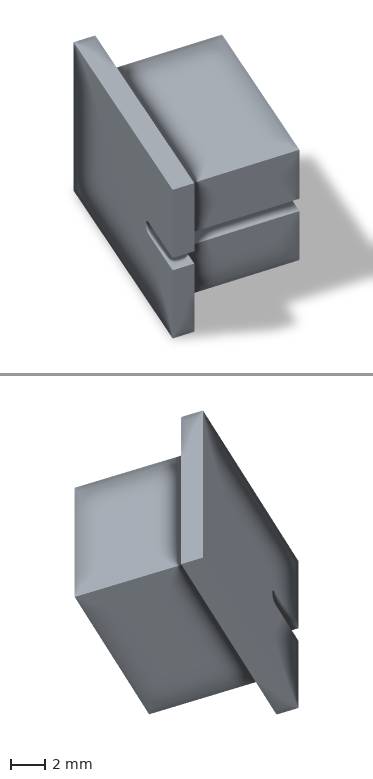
import cadquery as cq

flange_width = 14.0
flange_height = 11.95
flange_thickness = 1.4

total_depth = 8.9
flange_overhang = 1.54
block_width = flange_width - 2 * flange_overhang
block_height = flange_height - 2 * flange_overhang

slot_height = 1.0
slot_length = 3.82
slot_radius = slot_height / 2
flange_edge = flange_width / 2
slot_end = flange_edge - slot_length
slot_arc_start = slot_end + slot_radius


def make_flange():
    return cq.Workplane("XY").box(
        flange_width, flange_thickness, flange_height, centered=(True, False, True)
    )


def make_block():
    return cq.Workplane("XY").box(
        block_width, total_depth, block_height, centered=(True, False, True)
    )


def make_slot():
    return (
        cq.Workplane("XZ")
        .moveTo(flange_edge, slot_radius)
        .lineTo(slot_arc_start, slot_radius)
        .threePointArc((slot_end, 0), (slot_arc_start, -slot_radius))
        .lineTo(flange_edge, -slot_radius)
        .close()
        .extrude(-total_depth)
    )


result = make_flange().union(make_block()).cut(make_slot())